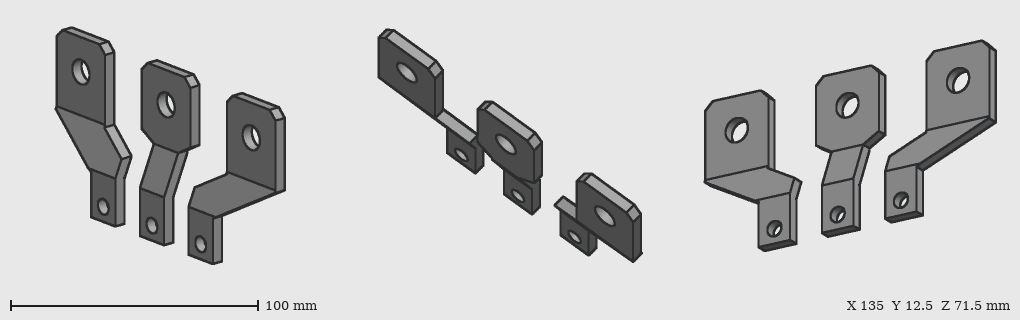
import cadquery as cq
import math

total_width = 135.0
total_height = 71.5
total_depth = 12.5

thickness = 5.0
plate_width = 30.0
plate_chamfer = 3.6
plate_hole_diameter = 10.5
plate_hole_drop = 15.0
strap_width = plate_width / 2
strap_hole_diameter = 6.6
strap_hole_height = 6.5
shoulder_angle = math.radians(30)

step = total_depth - thickness
upper_back_fold = 36.9
slant_drop = plate_width * math.tan(shoulder_angle)
lower_back_fold = upper_back_fold - slant_drop
bend_angle = math.atan2(step, slant_drop)
fold_shift = thickness * math.tan(bend_angle / 2)
upper_front_fold = upper_back_fold + fold_shift
lower_front_fold = lower_back_fold + fold_shift

half_plate = plate_width / 2
half_strap = strap_width / 2
shoulder_drop = (half_plate - half_strap) * math.tan(shoulder_angle)
offset_strap_rise = strap_width * math.tan(shoulder_angle)
offset_strap_center = half_plate + half_strap
pitch = (total_width - plate_width) / 2


def joggled_sheet(x_min, x_max):
    """Full-height bent sheet spanning x_min to x_max, with its plate back at Y = total_depth."""
    return (
        cq.Workplane("YZ", origin=(x_min, 0, 0))
        .moveTo(0, 0)
        .lineTo(thickness, 0)
        .lineTo(thickness, lower_back_fold)
        .lineTo(total_depth, upper_back_fold)
        .lineTo(total_depth, total_height)
        .lineTo(step, total_height)
        .lineTo(step, upper_front_fold)
        .lineTo(0, lower_front_fold)
        .close()
        .extrude(x_max - x_min)
    )


def hole(x, z, diameter):
    """Cylinder along Y that cuts right through the sheet."""
    return cq.Workplane("XZ").center(x, z).circle(diameter / 2).extrude(-total_depth)


def terminal(lower_outline, strap_center):
    """Bent terminal centred on its plate; lower_outline runs from the plate's left to its right side."""
    plate_top = [
        (half_plate, total_height - plate_chamfer),
        (half_plate - plate_chamfer, total_height),
        (plate_chamfer - half_plate, total_height),
        (-half_plate, total_height - plate_chamfer),
    ]
    outline = (
        cq.Workplane("XZ")
        .polyline(lower_outline + plate_top)
        .close()
        .extrude(-total_depth)
    )
    sheet = joggled_sheet(-half_plate, strap_center + half_plate)
    plate_hole = hole(0, total_height - plate_hole_drop, plate_hole_diameter)
    strap_hole = hole(strap_center, strap_hole_height, strap_hole_diameter)
    return sheet.intersect(outline).cut(plate_hole).cut(strap_hole)


def center_terminal():
    """Terminal with its strap directly below the plate, joined by sloping shoulders."""
    shoulder_bottom = upper_front_fold
    shoulder_top = shoulder_bottom + shoulder_drop
    return terminal(
        [
            (-half_plate, shoulder_top),
            (-half_strap, shoulder_bottom),
            (-half_strap, 0),
            (half_strap, 0),
            (half_strap, shoulder_bottom),
            (half_plate, shoulder_top),
        ],
        strap_center=0,
    )


def offset_terminal():
    """Terminal whose joggle slants sideways to a strap beyond the plate's right side."""
    return terminal(
        [
            (-half_plate, upper_back_fold),
            (half_plate, lower_back_fold),
            (half_plate, 0),
            (half_plate + strap_width, 0),
            (half_plate + strap_width, upper_back_fold - offset_strap_rise),
            (half_plate, upper_back_fold),
        ],
        strap_center=offset_strap_center,
    )


middle_terminal = center_terminal()
left_terminal = offset_terminal().translate((-pitch, 0, 0))
right_terminal = left_terminal.mirror("YZ")

result = cq.Compound.makeCompound([
    left_terminal.val(),
    middle_terminal.val(),
    right_terminal.val(),
])